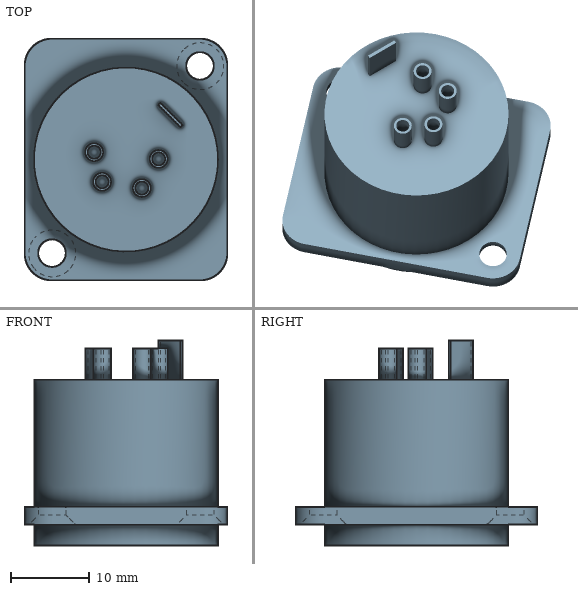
import cadquery as cq
import math

flange_width = 26.0
flange_length = 31
flange_bottom = 2.7
flange_thickness = 2.25
corner_radius = 3.5
screw_hole_diameter = 3.5
countersink_diameter = 6.0
countersink_angle = 90
screw_hole_x = 9.5
screw_hole_y = 12.0

shell_diameter = 23.6
shell_height = 21.27

cup_circle_radius = 4.2
cup_angles = [1, 167, 223, 299]
cup_outer_diameter = 2.3
cup_bore_diameter = 1.67
cup_height = 4.0

tab_angle = 45
tab_radius = 8.05
tab_width = 4.03
tab_thickness = 0.4
tab_height = 5.02


def make_flange():
    """Rounded plate with two diagonally opposite screw holes, countersunk from below."""
    plate = (
        cq.Workplane("XY", origin=(0, 0, flange_bottom))
        .rect(flange_width, flange_length)
        .extrude(flange_thickness)
        .edges("|Z")
        .fillet(corner_radius)
    )
    hole_centers = [(screw_hole_x, -screw_hole_y), (-screw_hole_x, screw_hole_y)]
    return (
        plate.faces("<Z")
        .workplane()
        .pushPoints(hole_centers)
        .cskHole(screw_hole_diameter, countersink_diameter, countersink_angle)
    )


def make_shell():
    return cq.Workplane("XY").circle(shell_diameter / 2).extrude(shell_height)


def make_cups():
    """Tubes standing on the shell, bored down to its top face."""
    centers = [
        (
            cup_circle_radius * math.cos(math.radians(angle)),
            cup_circle_radius * math.sin(math.radians(angle)),
        )
        for angle in cup_angles
    ]
    top_plane = cq.Workplane("XY", origin=(0, 0, shell_height)).pushPoints(centers)
    posts = top_plane.circle(cup_outer_diameter / 2).extrude(cup_height)
    bores = top_plane.circle(cup_bore_diameter / 2).extrude(cup_height)
    return posts.cut(bores)


def make_tab():
    """Thin blade set square to its radial direction."""
    return (
        cq.Workplane("XY", origin=(0, 0, shell_height))
        .center(tab_radius, 0)
        .rect(tab_thickness, tab_width)
        .extrude(tab_height)
        .rotate((0, 0, 0), (0, 0, 1), tab_angle)
    )


result = make_flange().union(make_shell()).union(make_cups()).union(make_tab())